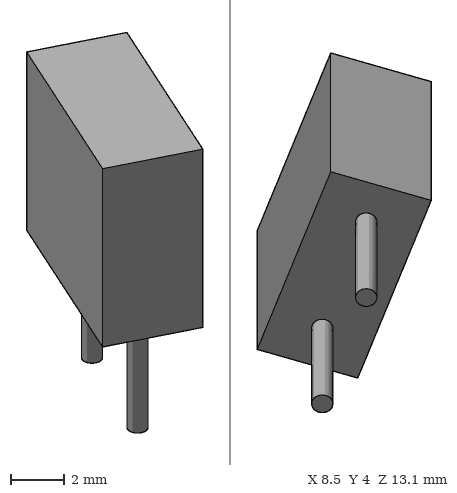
import cadquery as cq

housing_width = 8.5
housing_depth = 4.0
total_height = 13.1

lead_diameter = 0.8
lead_length = 5.1
lead_spacing = 5.08

housing_height = total_height - lead_length


def make_housing():
    """Plain block standing on the Z = 0 plane."""
    return cq.Workplane("XY").box(
        housing_width, housing_depth, housing_height, centered=(True, True, False)
    )


def make_lead(x):
    """Straight round lead hanging from the housing's underside at the given X."""
    return cq.Workplane("XY").center(x, 0).circle(lead_diameter / 2).extrude(-lead_length)


housing = make_housing()
leads = [make_lead(side * lead_spacing / 2) for side in (-1, 1)]

result = cq.Compound.makeCompound([housing.val(), *[lead.val() for lead in leads]])